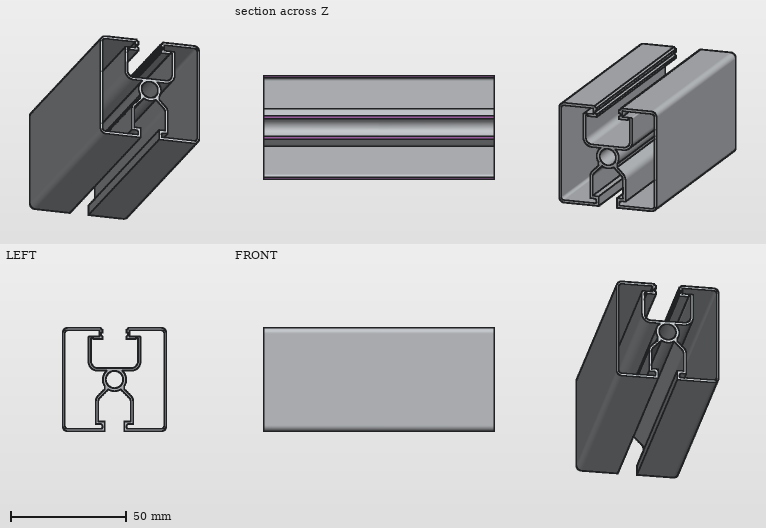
import cadquery as cq

length = 100.0
size = 45.0
half = size / 2
corner_radius = 2.5
side_wall = 1.0
wall = 1.2
bend_inner_radius = 2.8
bend_outer_radius = bend_inner_radius + wall

tube_radius = 5.1
bore_radius = 3.7

top_mouth = 5.1
top_slot_half = 10.1
top_floor = 5.0
top_lip_bottom = 17.5
top_lip_root = 6.6
top_shoulder_radius = 0.6
rim_groove_radius = 0.9
snap_upper = 20.3
snap_mid = 19.5
snap_lower = 18.6
snap_shallow = 0.6
snap_deep = 0.9
relief_width = 0.9
relief_side = 0.1

bottom_mouth = 4.2
bottom_slot_half = 7.0
bottom_lip_top = -18.1
bottom_lip_root = 5.3
lip_root_radius = 0.9
lip_foot_radius = 0.5
web_half = 4.3
chamber_diagonal = -0.1
slot_diagonal = chamber_diagonal + wall * 2 ** 0.5


def prism(points):
    """Extrude a closed (Y, Z) outline over the full length."""
    return cq.Workplane("YZ").polyline(points).close().extrude(length / 2, both=True)


def round_edge(body, point, radius):
    """Fillet the lengthwise edge passing through the (Y, Z) point."""
    return body.edges(cq.NearestToPointSelector((0, *point))).fillet(radius)


def cylinder(radius, y=0.0, z=0.0):
    return cq.Workplane("YZ").center(y, z).circle(radius).extrude(length / 2, both=True)


def both_sides(body):
    return body.union(body.mirror("XZ"))


def side_chamber():
    """Hollow on the +Y side between the outer wall and the two slots."""
    outer = half - side_wall
    top = half - wall
    wall_y = top_slot_half + wall
    shoulder = top_lip_bottom + wall
    floor = top_floor - wall
    leg_y = bottom_slot_half + wall
    lip = bottom_lip_top - wall
    under_tube = bore_radius / 2
    bend = (leg_y, -(leg_y + chamber_diagonal))
    chamber = prism([
        (outer, top), (top_lip_root, top), (top_lip_root, shoulder),
        (wall_y, shoulder), (wall_y, floor), (under_tube, floor), (under_tube, 0),
        (web_half, 0), (web_half, -(web_half + chamber_diagonal)), bend,
        (leg_y, lip), (bottom_lip_root, lip), (bottom_lip_root, -top), (outer, -top),
    ])
    for point, radius in [
        ((outer, top), corner_radius - wall),
        ((outer, -top), corner_radius - wall),
        ((wall_y, shoulder), top_shoulder_radius),
        ((wall_y, floor), bend_outer_radius),
        (bend, bend_outer_radius),
        ((bottom_lip_root, lip), lip_root_radius),
        ((bottom_lip_root, -top), lip_foot_radius),
    ]:
        chamber = round_edge(chamber, point, radius)
    return chamber


def top_slot():
    """Wide upper slot with a snap groove in each lip and a relief in each inside corner."""
    w = top_slot_half
    slot = prism([(-w, top_floor), (w, top_floor), (w, top_lip_bottom), (-w, top_lip_bottom)])
    for side in (-w, w):
        slot = round_edge(slot, (side, top_floor), bend_inner_radius)
    half_mouth = prism([
        (0, top_floor), (top_mouth, top_floor), (top_mouth, snap_lower),
        (top_mouth + snap_deep, snap_mid), (top_mouth + snap_shallow, snap_upper),
        (top_mouth, snap_upper), (top_mouth, half), (0, half),
    ])
    relief_z = top_lip_bottom + relief_side
    relief = (
        cq.Workplane("YZ")
        .moveTo(w - relief_width, top_lip_bottom)
        .lineTo(w - relief_width, relief_z)
        .threePointArc((w - relief_width / 2, relief_z + relief_width / 2), (w, relief_z))
        .lineTo(w, top_lip_bottom)
        .close()
        .extrude(length / 2, both=True)
    )
    rim_groove = cylinder(rim_groove_radius, top_mouth, half)
    return slot.union(both_sides(half_mouth)).union(both_sides(relief)).union(both_sides(rim_groove))


def bottom_slot():
    """Narrow lower slot whose roof closes at 45 degrees onto the tube."""
    w = bottom_slot_half
    bend_z = -(w + slot_diagonal)
    slot = prism([(-w, bottom_lip_top), (-w, bend_z), (0, -slot_diagonal), (w, bend_z), (w, bottom_lip_top)])
    for side in (-w, w):
        slot = round_edge(slot, (side, bend_z), bend_inner_radius)
    m = bottom_mouth
    mouth = prism([(-m, bottom_lip_top), (m, bottom_lip_top), (m, -half), (-m, -half)])
    return slot.union(mouth)


body = cq.Workplane("XY").box(length, size, size).edges("|X").fillet(corner_radius)
body = body.cut(both_sides(side_chamber())).cut(top_slot()).cut(bottom_slot())
result = body.union(cylinder(tube_radius).cut(top_slot())).cut(cylinder(bore_radius))